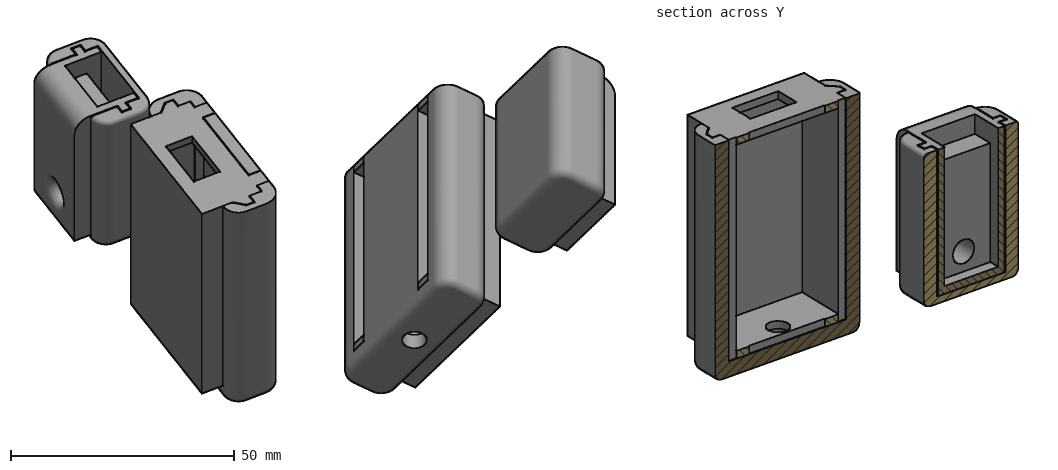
import cadquery as cq


corner_radius = 4.0
base_fillet = 2.0
wall = 2.0

narrow_width = 27.0
narrow_depth = 14.55
narrow_height = 39.1
narrow_top_fillet = 1.0
narrow_floor = base_fillet
narrow_clearance = 0.3
narrow_insert_width = 18.8
narrow_insert_front = narrow_depth + corner_radius
narrow_insert_back = 2.3
narrow_tongue_span = 23.1
narrow_tongue_back = 5.5
narrow_tongue_front = narrow_tongue_back + wall
plug_width = 15.1
plug_front = 11.6
plug_depth = 5.0
slot_front = 6.0
thumb_hole_diameter = 6.0
thumb_hole_fillet = wall
thumb_hole_height = 9.0

wide_width = 41.15
wide_depth = 13.0
wide_height = 60.1
wide_floor = 4.05
wide_clearance = 0.2
wide_insert_width = 33.1
wide_insert_front = 18.3
back_opening_width = 28.85
strip_width = 21.0
strip_thickness = 3.0
wide_insert_back = strip_thickness + wide_clearance
wide_tongue_span = 37.45
wide_tongue_back = 6.3
wide_tongue_front = 8.2
window_width = 13.0
window_back = 8.2
window_front = 14.9
cable_hole_diameter = 5.5

total_width = 86.1
total_height = 60.5
wide_x = total_width - (narrow_width + wide_width) / 2
wide_y = wide_insert_front - narrow_insert_front
wide_z = total_height - wide_height


def block(width, back, front, bottom, top):
    """Box centred on X = 0; back and front are depths measured from the back face."""
    return (
        cq.Workplane("XY")
        .box(width, front - back, top - bottom, centered=(True, False, False))
        .translate((0, -front, bottom))
    )


def symmetric_prism(half_outline, bottom, top):
    """Upright prism from (half width, depth) points, listed back to front, mirrored in X."""
    right = [(x, -depth) for x, depth in half_outline]
    left = [(-x, y) for x, y in reversed(right)]
    return cq.Workplane("XY").workplane(offset=bottom).polyline(right + left).close().extrude(top - bottom)


def rounded_case(width, depth, height):
    """Solid case with rounded upright corners and a rounded base edge."""
    case = block(width, 0, depth, 0, height)
    return case.edges("|Z").fillet(corner_radius).faces("<Z").edges().fillet(base_fillet)


def narrow_outline(gap, front):
    """Half outline of the insert with its square tongue, grown by the gap."""
    side = narrow_insert_width / 2 + gap
    tip = narrow_tongue_span / 2 + gap
    return [
        (side, narrow_insert_back - gap),
        (side, narrow_tongue_back - gap),
        (tip, narrow_tongue_back - gap),
        (tip, narrow_tongue_front + gap),
        (side, narrow_tongue_front + gap),
        (side, front),
    ]


def make_narrow_housing():
    case = rounded_case(narrow_width, narrow_depth, narrow_height)
    case = case.faces(">Z").edges().fillet(narrow_top_fillet)
    channel = symmetric_prism(narrow_outline(narrow_clearance, narrow_depth), narrow_floor, narrow_height)
    return case.cut(channel)


def make_narrow_insert():
    body = symmetric_prism(narrow_outline(0, narrow_insert_front), narrow_floor, narrow_height)
    body = body.faces(">Z").edges("<Y").fillet(corner_radius)

    plug_floor = narrow_height - plug_depth
    body = body.cut(block(plug_width, narrow_insert_back, plug_front, plug_floor, narrow_height))
    body = body.cut(block(plug_width, narrow_insert_back, slot_front, narrow_floor + wall, plug_floor))

    hole = (
        cq.Workplane("XZ", origin=(0, -slot_front, thumb_hole_height))
        .circle(thumb_hole_diameter / 2)
        .extrude(narrow_insert_front - slot_front)
    )
    body = body.cut(hole)
    return body.faces("<Y").edges("%CIRCLE").fillet(thumb_hole_fillet)


def cable_hole():
    return (
        cq.Workplane("XY", origin=(0, -wide_depth / 2, 0))
        .circle(cable_hole_diameter / 2)
        .extrude(wide_floor + wall)
    )


def wide_outline(gap, front):
    """Half outline of the insert with its back arm and 45-degree tongue.

    The gap opens the shoulder and the tongue only; the upright sides slide in contact.
    """
    arm = back_opening_width / 2
    side = wide_insert_width / 2
    tip = wide_tongue_span / 2
    slope_reach = tip + wide_tongue_front + 2 * gap
    return [
        (arm, 0),
        (arm, wide_insert_back - gap),
        (side, wide_insert_back - gap),
        (side, wide_tongue_back - gap),
        (tip + gap, wide_tongue_back - gap),
        (tip + gap, slope_reach - tip - gap),
        (side, slope_reach - side),
        (side, front),
    ]


def make_wide_housing():
    case = rounded_case(wide_width, wide_depth, wide_height)
    channel = symmetric_prism(wide_outline(wide_clearance, wide_depth), wide_floor, wide_height)
    strip = block(strip_width, 0, strip_thickness, wide_floor, wide_height)
    return case.cut(channel.cut(strip)).cut(cable_hole())


def make_wide_insert():
    plate_bottom = wide_height - wall
    body = symmetric_prism(wide_outline(0, wide_insert_front), wide_floor, wide_height)

    hollow = block(back_opening_width, 0, wide_insert_front - wall, wide_floor + wall, plate_bottom)
    strip_notch = block(strip_width + 2 * wide_clearance, 0, wide_insert_back, wide_floor, wide_height)
    window = block(window_width, window_back, window_front, plate_bottom, wide_height)
    return body.cut(hollow).cut(strip_notch).cut(window).cut(cable_hole())


wide_place = (wide_x, wide_y, wide_z)
narrow_housing = make_narrow_housing()
narrow_insert = make_narrow_insert()
wide_housing = make_wide_housing().translate(wide_place)
wide_insert = make_wide_insert().translate(wide_place)

result = cq.Compound.makeCompound(
    [narrow_housing.val(), narrow_insert.val(), wide_housing.val(), wide_insert.val()]
)